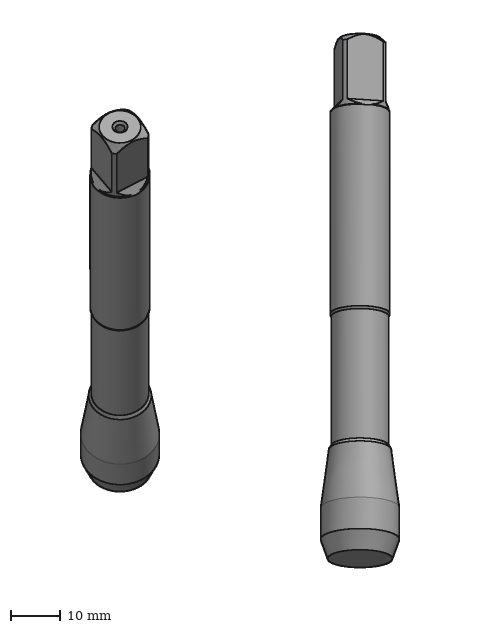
import cadquery as cq
import math

total_length = 110.0

head_radius = 16.1 / 2
head_tip_radius = 13.2 / 2
lead_chamfer_length = 4.1
head_cylinder_top = 10.8
collar_radius = 12.8 / 2
collar_chamfer_bottom = 23.1
head_length = 23.9

neck_radius = 11.8 / 2
neck_top = 51.3
shank_radius = 12.2 / 2
shank_bottom = 51.8
shank_top = 94.5

drive_width = 9.0
drive_corner_radius = neck_radius
flat_bottom = 95.9
drive_top_radius = 8.5 / 2
drive_chamfer_length = 1.5
ledge_drop = 1.5
corner_step_height = 0.2

hole_radius = 2.0 / 2
hole_mouth_radius = 3.1 / 2
hole_depth = 3.3
hole_tip_angle = 120


def make_head():
    """Turned head, whose flat upper end meets the neck."""
    return (
        cq.Workplane("XZ")
        .moveTo(0, 0)
        .lineTo(head_tip_radius, 0)
        .lineTo(head_radius, lead_chamfer_length)
        .lineTo(head_radius, head_cylinder_top)
        .lineTo(collar_radius, collar_chamfer_bottom)
        .lineTo(neck_radius, head_length)
        .lineTo(0, head_length)
        .close()
        .revolve(360, (0, 0, 0), (0, 1, 0))
    )


def turned_shaft():
    """Neck, shank and round drive blank with a chamfered end."""
    return (
        cq.Workplane("XZ")
        .moveTo(0, head_length)
        .lineTo(neck_radius, head_length)
        .lineTo(neck_radius, neck_top)
        .lineTo(shank_radius, shank_bottom)
        .lineTo(shank_radius, shank_top)
        .lineTo(drive_corner_radius, shank_top + corner_step_height)
        .lineTo(drive_corner_radius, total_length - drive_chamfer_length)
        .lineTo(drive_top_radius, total_length)
        .lineTo(0, total_length)
        .close()
        .revolve(360, (0, 0, 0), (0, 1, 0))
    )


def flat_cutter():
    """Tool that cuts one flat on +X, with a sloping ledge at its foot."""
    flat_distance = drive_width / 2
    return (
        cq.Workplane("XZ")
        .moveTo(flat_distance, flat_bottom)
        .lineTo(shank_radius, flat_bottom - ledge_drop)
        .lineTo(head_radius, flat_bottom - ledge_drop)
        .lineTo(head_radius, total_length)
        .lineTo(flat_distance, total_length)
        .close()
        .extrude(shank_radius, both=True)
    )


def centre_hole_cutter():
    """Drilled centre hole with a 45 degree countersunk mouth and a conical tip."""
    countersink_depth = hole_mouth_radius - hole_radius
    tip_depth = hole_radius / math.tan(math.radians(hole_tip_angle / 2))
    return (
        cq.Workplane("XZ")
        .moveTo(0, total_length)
        .lineTo(hole_mouth_radius, total_length)
        .lineTo(hole_radius, total_length - countersink_depth)
        .lineTo(hole_radius, total_length - hole_depth)
        .lineTo(0, total_length - hole_depth - tip_depth)
        .close()
        .revolve(360, (0, 0, 0), (0, 1, 0))
    )


def make_shaft():
    """Shaft with four drive flats and a centre hole."""
    shaft = turned_shaft()
    for quarter_turn in range(4):
        shaft = shaft.cut(flat_cutter().rotate((0, 0, 0), (0, 0, 1), 90 * quarter_turn))
    return shaft.cut(centre_hole_cutter())


head = make_head()
shaft = make_shaft()

result = cq.Compound.makeCompound([head.val(), shaft.val()])